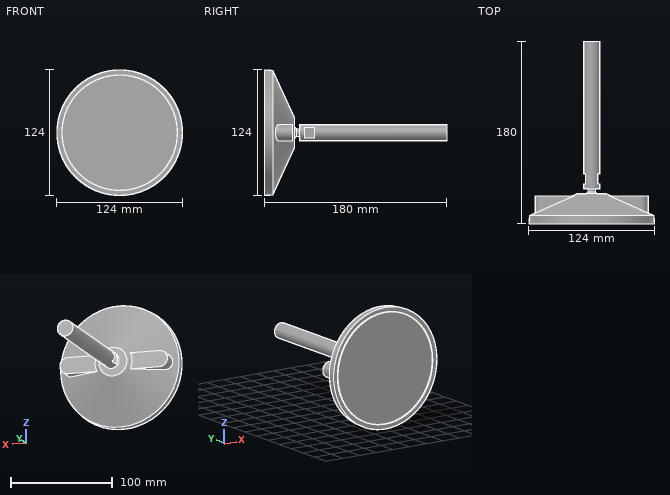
import cadquery as cq
import math

total_length = 180.0

base_diameter = 124.0
rim_top_diameter = 123.0
rim_height = 8.3
cone_top_diameter = 29.0
foot_height = 29.9

pad_diameter = 113.5
pad_recess_diameter = 114.0
groove_depth = 1.0

bar_length = 111.6
bar_width = 16.4
bar_top = 27.7

rod_diameter = 16.0
rod_start = 34.7
neck_diameter = 7.7
ball_diameter = 12.5
neck_start = 31.5

flats_start = 39.6
flats_length = 9.7
across_flats = 12.5


def plane_at(y):
    """Plane across the spindle axis, with its normal along +Y."""
    return cq.Workplane(cq.Plane(origin=(0, y, 0), xDir=(1, 0, 0), normal=(0, 1, 0)))


def make_foot():
    profile = [
        (0, 0),
        (base_diameter / 2, 0),
        (rim_top_diameter / 2, rim_height),
        (cone_top_diameter / 2, foot_height),
        (0, foot_height),
    ]
    return cq.Workplane("XY").polyline(profile).close().revolve(360, (0, 0), (0, 1))


def make_bar():
    return plane_at(rim_height).slot2D(bar_length, bar_width).extrude(bar_top - rim_height)


def make_groove():
    return plane_at(0).circle(pad_recess_diameter / 2).circle(pad_diameter / 2).extrude(groove_depth)


def make_spindle():
    ball_to_neck = math.sqrt(ball_diameter**2 - neck_diameter**2) / 2
    ball_center = neck_start - ball_to_neck
    ball = cq.Workplane("XY").sphere(ball_diameter / 2).translate((0, ball_center, 0))
    neck = plane_at(ball_center).circle(neck_diameter / 2).extrude(rod_start - ball_center)
    rod = plane_at(rod_start).circle(rod_diameter / 2).extrude(total_length - rod_start)
    for side in (-1, 1):
        cutter_center = side * (across_flats + rod_diameter) / 2
        flat = (
            plane_at(flats_start)
            .center(cutter_center, 0)
            .rect(rod_diameter, rod_diameter)
            .extrude(flats_length)
        )
        rod = rod.cut(flat)
    return rod.union(neck).union(ball)


result = make_foot().union(make_bar()).cut(make_groove()).union(make_spindle())